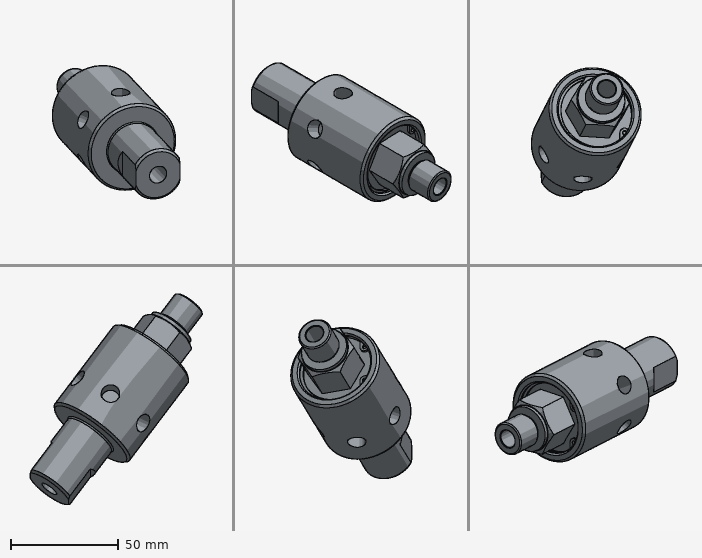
import cadquery as cq
import math

total_length = 111.9
bore_dia = 8.5
bore_mouth_chamfer = 0.3

stub_dia = 15.9
stub_tip_dia = 14.5
stub_tip_chamfer = 0.6
stub_end = 12.6
relief_dia = 13.9

collar_start = 14.1
collar_dia = 22.2
hex_start = 15.9
hex_flats = 24.0
hex_face_dia = 22.8
hex_chamfer_angle = 30.0

body_start = 29.8
body_end = 78.8
body_dia = 43.8
body_chamfer = 1.1

recess_mouth_dia = 36.6
recess_dia = 35.0
recess_chamfer = (recess_mouth_dia - recess_dia) / 2
clip_start = body_start + 1.8
clip_thickness = 1.1
recess_floor = clip_start + clip_thickness

clip_inner_dia = 34.2
clip_eccentricity = 1.1
lug_hole_dia = 2.0
lug_radius = 2.2
lug_y = -14.2
lug_z = 9.2

radial_hole_count = 6
radial_hole_x = 63.0
radial_hole_dia = 8.6
radial_hole_floor = 13.4

shaft_dia = 25.4
shoulder_dia = 26.2
shoulder_end = 79.7
shaft_chamfer = 1.1
flats_width = 22.0
flats_start = 94.4


def revolve_about_x(points):
    """Turn a closed (x, radius) outline about the X axis."""
    return cq.Workplane("XY").polyline(points).close().revolve(360, (0, 0, 0), (1, 0, 0))


def x_cylinder(start, end, dia, y=0.0, z=0.0):
    """Cylinder along X between two stations."""
    return cq.Workplane("YZ", origin=(start, 0, 0)).center(y, z).circle(dia / 2).extrude(end - start)


def make_stub():
    stub_r = stub_dia / 2
    relief_r = relief_dia / 2
    collar_r = collar_dia / 2
    return revolve_about_x([
        (0, 0),
        (0, stub_tip_dia / 2),
        (stub_tip_chamfer, stub_r),
        (stub_end, stub_r),
        (stub_end + stub_r - relief_r, relief_r),
        (collar_start, relief_r),
        (collar_start, collar_r),
        (hex_start, collar_r),
        (hex_start, 0),
    ])


def make_hexagon():
    """Hexagon with flats facing +Z and -Z, its front corners turned off by a cone."""
    corner_dia = hex_flats / math.cos(math.radians(30))
    length = recess_floor - hex_start
    prism = cq.Workplane("YZ", origin=(hex_start, 0, 0)).polygon(6, corner_dia).extrude(length)
    face_r = hex_face_dia / 2
    corner_r = corner_dia / 2
    cone_length = (corner_r - face_r) * math.tan(math.radians(hex_chamfer_angle))
    envelope = revolve_about_x([
        (hex_start, 0),
        (hex_start, face_r),
        (hex_start + cone_length, corner_r),
        (recess_floor, corner_r),
        (recess_floor, 0),
    ])
    return prism.intersect(envelope)


def make_body():
    body_r = body_dia / 2
    recess_r = recess_dia / 2
    return revolve_about_x([
        (recess_floor, 0),
        (recess_floor, recess_r),
        (body_start + recess_chamfer, recess_r),
        (body_start, recess_mouth_dia / 2),
        (body_start, body_r - body_chamfer),
        (body_start + body_chamfer, body_r),
        (body_end - body_chamfer, body_r),
        (body_end, body_r - body_chamfer),
        (body_end, 0),
    ])


def make_clip():
    recess = x_cylinder(clip_start, recess_floor, recess_dia)
    opening = x_cylinder(clip_start, recess_floor, clip_inner_dia, y=-clip_eccentricity)
    clip = recess.cut(opening)
    for side in (1, -1):
        lug = x_cylinder(clip_start, recess_floor, 2 * lug_radius, lug_y, side * lug_z)
        web = (
            cq.Workplane("YZ", origin=(clip_start, 0, 0))
            .center(lug_y, side * (lug_z + lug_radius))
            .rect(2 * lug_radius, 2 * lug_radius)
            .extrude(clip_thickness)
        )
        hole = x_cylinder(clip_start, recess_floor, lug_hole_dia, lug_y, side * lug_z)
        clip = clip.union(lug.union(web).intersect(recess)).cut(hole)
    return clip


def make_shaft():
    shaft_r = shaft_dia / 2
    return revolve_about_x([
        (body_end, 0),
        (body_end, shoulder_dia / 2),
        (shoulder_end, shaft_r),
        (total_length - shaft_chamfer, shaft_r),
        (total_length, shaft_r - shaft_chamfer),
        (total_length, 0),
    ])


def make_flat_cutter():
    """Wrench flat on the +Y side with a 45 degree run-out towards the body."""
    flat_y = flats_width / 2
    depth = shaft_dia / 2 - flat_y
    return (
        cq.Workplane("XY", origin=(0, 0, -shaft_dia / 2))
        .moveTo(flats_start, flat_y)
        .lineTo(total_length, flat_y)
        .lineTo(total_length, flat_y + depth)
        .lineTo(flats_start - depth, flat_y + depth)
        .close()
        .extrude(shaft_dia)
    )


def make_radial_hole(angle):
    depth = body_dia / 2 - radial_hole_floor
    hole = (
        cq.Workplane("XY", origin=(radial_hole_x, 0, radial_hole_floor))
        .circle(radial_hole_dia / 2)
        .extrude(depth)
    )
    return hole.rotate((0, 0, 0), (1, 0, 0), angle)


def make_through_bore():
    """Axial bore with a small chamfer at the inlet."""
    bore_r = bore_dia / 2
    return revolve_about_x([
        (0, 0),
        (0, bore_r + bore_mouth_chamfer),
        (bore_mouth_chamfer, bore_r),
        (total_length, bore_r),
        (total_length, 0),
    ])


result = make_body().union(make_shaft()).union(make_hexagon()).union(make_stub()).union(make_clip())

flat_cutter = make_flat_cutter()
result = result.cut(flat_cutter).cut(flat_cutter.mirror("XZ"))

for index in range(radial_hole_count):
    result = result.cut(make_radial_hole(index * 360 / radial_hole_count))

result = result.cut(make_through_bore())